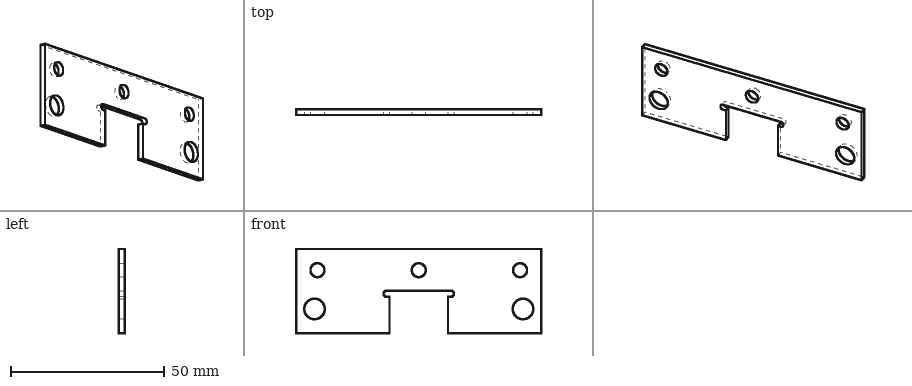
import cadquery as cq

length = 80.0
thickness = 2.0
height = 27.6

notch_width = 19.0
notch_height = 13.9
relief_length = 23.0
relief_height = 1.9

small_hole_diameter = 4.5
small_hole_offset = 33.0
small_hole_drop = 7.0
large_hole_diameter = 6.6
large_hole_offset = 34.0
large_hole_rise = 8.0

top = height / 2
bottom = -height / 2
back = thickness / 2


def through_holes(plate, points, diameter):
    """Drill holes through the plate at (x, z) points."""
    drills = (
        cq.Workplane("XZ", origin=(0, back, 0)).pushPoints(points).circle(diameter / 2)
        .extrude(thickness)
    )
    return plate.cut(drills)


def notch_cutter():
    """Rectangular notch joined to a round-ended slot along its upper edge."""
    opening = (
        cq.Workplane("XZ", origin=(0, back, 0)).center(0, bottom + notch_height / 2)
        .rect(notch_width, notch_height).extrude(thickness)
    )
    relief = (
        cq.Workplane("XZ", origin=(0, back, 0)).center(0, bottom + notch_height - relief_height / 2)
        .slot2D(relief_length, relief_height).extrude(thickness)
    )
    return opening.union(relief)


plate = cq.Workplane("XY").box(length, thickness, height)
plate = plate.cut(notch_cutter())

small_hole_z = top - small_hole_drop
small_holes = [(x, small_hole_z) for x in (-small_hole_offset, 0, small_hole_offset)]
plate = through_holes(plate, small_holes, small_hole_diameter)

large_hole_z = bottom + large_hole_rise
large_holes = [(x, large_hole_z) for x in (-large_hole_offset, large_hole_offset)]
plate = through_holes(plate, large_holes, large_hole_diameter)

result = plate